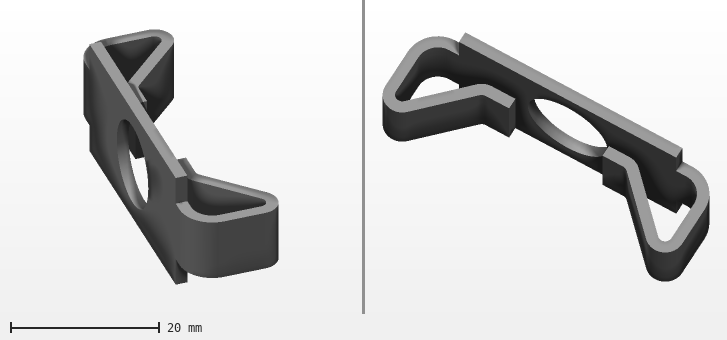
import cadquery as cq
import math

length = 46.4
depth = 13.25
thickness = 1.65
plate_width = 33.95
plate_height = 17.4
hole_diameter = 12.4

arm_height = 9.05
base_bend_radius = 4.7
crest_bend_radius = 2.65
tip_bend_radius = 2.8
leaf_slope = 45.0
left_tip_gap = 3.05
right_tip_gap = 3.4
left_tip_reach = 15.9
right_tip_reach = 16.05


def polar(center, radius, degrees):
    angle = math.radians(degrees)
    return (center[0] + radius * math.cos(angle), center[1] + radius * math.sin(angle))


def bend(sketch, center, radius, start, end):
    """Draw a line to the start of a bend, then the bend arc."""
    middle = polar(center, radius, (start + end) / 2)
    sketch = sketch.lineTo(*polar(center, radius, start))
    return sketch.threePointArc(middle, polar(center, radius, end))


def make_plate():
    return (
        cq.Workplane("XY")
        .box(plate_width, thickness, plate_height)
        .translate((0, thickness / 2, 0))
    )


def make_left_arm(tip_gap, tip_reach):
    end_x = -length / 2
    tip_x = end_x + tip_reach
    base_center = (end_x + base_bend_radius, base_bend_radius)
    crest_center = (end_x + crest_bend_radius, depth - crest_bend_radius)

    crest_inner_radius = crest_bend_radius - thickness
    tip_inner_radius = tip_bend_radius - thickness
    slope = math.radians(leaf_slope)
    tip_center_y = tip_gap + tip_bend_radius
    drop = crest_center[1] - tip_center_y
    radii = crest_inner_radius + tip_bend_radius
    run = (radii + drop * math.cos(slope)) / math.sin(slope)
    tip_center = (crest_center[0] + run, tip_center_y)

    leaf_normal = 90 - leaf_slope
    base_arc = (270, 180)
    crest_arc = (180, leaf_normal)
    tip_arc = (180 + leaf_normal, 270)

    profile = cq.Workplane("XY").moveTo(-plate_width / 2, 0)
    profile = bend(profile, base_center, base_bend_radius, *base_arc)
    profile = bend(profile, crest_center, crest_bend_radius, *crest_arc)
    profile = bend(profile, tip_center, tip_inner_radius, *tip_arc)
    profile = profile.lineTo(tip_x, tip_gap + thickness).lineTo(tip_x, tip_gap)

    profile = bend(profile, tip_center, tip_bend_radius, *reversed(tip_arc))
    profile = bend(profile, crest_center, crest_inner_radius, *reversed(crest_arc))
    profile = bend(profile, base_center, base_bend_radius - thickness, *reversed(base_arc))
    profile = profile.lineTo(-plate_width / 2, thickness).close()
    return profile.extrude(arm_height / 2, both=True)


def make_hole():
    return cq.Workplane("XZ").circle(hole_diameter / 2).extrude(-thickness)


left_arm = make_left_arm(left_tip_gap, left_tip_reach)
right_arm = make_left_arm(right_tip_gap, right_tip_reach).mirror("YZ")
result = make_plate().cut(make_hole()).union(left_arm).union(right_arm)